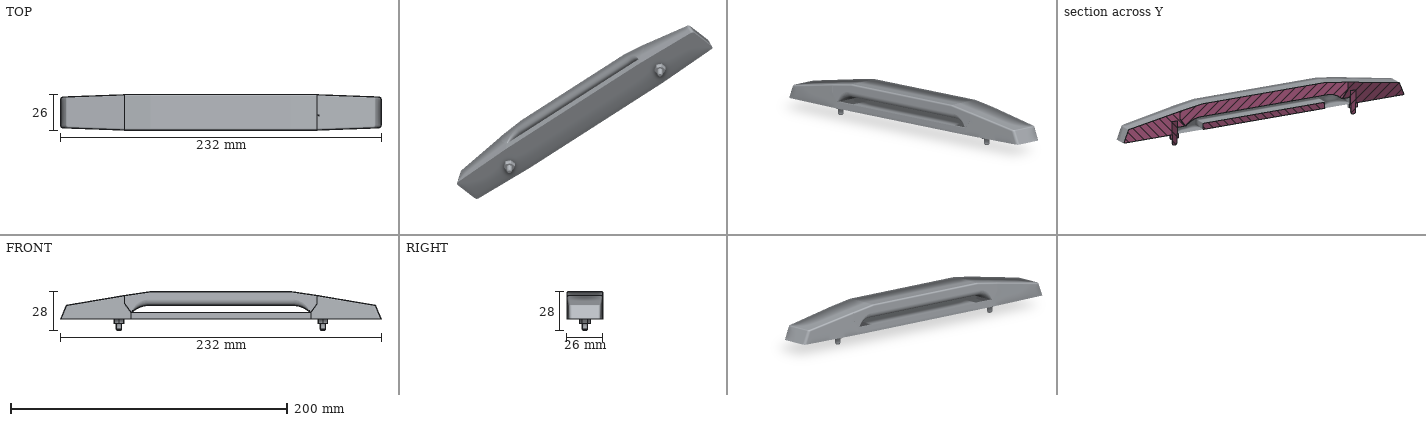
import cadquery as cq
import math

length = 232.0
width = 26.0
height = 20.0

flat_top_half_length = 50.6
grip_slope = math.radians(8.4)
cap_slope = math.radians(9.6)
end_top_x = 111.85
end_width = 22.3
top_fillet = 1.2
end_fillet = 2.0

joint_x = 65.1
joint_top_x = 69.6
joint_bend_z = 11.2
bar_height = 5.0

underside_z = 10.0
underside_radius = 4.0
underside_half_length = 52.2
foot_flat = 0.7
foot_radius = 0.1
blend_sections = 8

pocket_inner_x = 50.4
pocket_outer_x = 71.0
pocket_margin = 2.0
pocket_floor = 0.5

stud_x = 73.75
stud_diameter = 4.0
stud_drop = 8.0
stud_engagement = 10.0
stud_tip_length = 1.0
stud_tip_inset = 0.7
nut_across_flats = 7.0
nut_height = 3.2
nut_chamfer_angle = math.radians(30.0)

joint_top_z = height - (joint_top_x - flat_top_half_length) * math.tan(grip_slope)
half_length = length / 2
half_width = width / 2
sides = (-1, 1)


def place(body, side):
    """Turn a body built at the +X end to the chosen end."""
    return body if side > 0 else body.rotate((0, 0, 0), (0, 0, 1), 180)


def extrude_across(profile):
    """Extrude an XZ profile over the full width, centred on Y = 0."""
    return profile.extrude(half_width, both=True)


def make_stud():
    tip_radius = stud_diameter / 2 - stud_tip_inset
    profile = (
        cq.Workplane("XZ")
        .moveTo(0, stud_engagement)
        .lineTo(stud_diameter / 2, stud_engagement)
        .lineTo(stud_diameter / 2, stud_tip_length - stud_drop)
        .lineTo(tip_radius, -stud_drop)
        .lineTo(0, -stud_drop)
        .close()
    )
    return profile.revolve(360, (0, 0, 0), (0, 1, 0)).translate((stud_x, 0, 0))


def make_nut():
    across_corners = nut_across_flats / math.cos(math.pi / 6)
    hexagon = (
        cq.Workplane("XY")
        .polygon(6, across_corners)
        .circle(stud_diameter / 2)
        .extrude(-nut_height)
        .rotate((0, 0, 0), (0, 0, 1), 90)
    )
    flat_radius = nut_across_flats / 2
    cone_radius = flat_radius + nut_height / math.tan(nut_chamfer_angle)
    cone = cq.Workplane(
        cq.Solid.makeCone(flat_radius, cone_radius, nut_height, pnt=cq.Vector(0, 0, -nut_height))
    )
    return hexagon.intersect(cone).translate((stud_x, 0, 0))


def make_pocket_block(low_z, high_z):
    """Block with the plan of the pocket, which reaches from the base bar into the cap."""
    block_length = pocket_outer_x - pocket_inner_x
    block_width = width - 2 * pocket_margin
    return (
        cq.Workplane("XY")
        .box(block_length, block_width, high_z - low_z, centered=(False, True, False))
        .translate((pocket_inner_x, 0, low_z))
    )


def make_cap():
    end_rise = joint_top_z - (end_top_x - joint_top_x) * math.tan(cap_slope)
    profile = (
        cq.Workplane("XZ")
        .moveTo(joint_x, 0)
        .lineTo(half_length, 0)
        .lineTo(end_top_x, end_rise)
        .lineTo(joint_top_x, joint_top_z)
        .lineTo(joint_top_x, joint_bend_z)
        .lineTo(joint_x, bar_height)
        .close()
    )
    plan = (
        cq.Workplane("XY")
        .moveTo(joint_x, -half_width)
        .lineTo(half_length, -end_width / 2)
        .lineTo(half_length, end_width / 2)
        .lineTo(joint_x, half_width)
        .close()
        .extrude(height)
    )
    body = extrude_across(profile).intersect(plan)

    end_corners = cq.selectors.BoxSelector(
        (end_top_x, -half_width, 0), (half_length, half_width, end_rise)
    )
    body = body.edges(end_corners).edges("not #Z").edges("not |Y").fillet(end_fillet)
    top_middle = ((joint_top_x + end_top_x) / 2, 0, (joint_top_z + end_rise) / 2)
    top_face = body.faces(cq.selectors.NearestToPointSelector(top_middle))
    body = top_face.edges("not <X").fillet(top_fillet)

    stud_hole = (
        cq.Workplane("XY").center(stud_x, 0).circle(stud_diameter / 2).extrude(stud_engagement)
    )
    return body.cut(stud_hole).cut(make_pocket_block(0, bar_height))


def arc_drop(distance, run, drop):
    """Drop at a distance along an arc that starts level and falls by drop over run."""
    radius = (run**2 + drop**2) / (2 * drop)
    return radius - math.sqrt(radius**2 - distance**2)


def opening_section(x, radius_y, low_z, edge_z):
    """Section of the hand opening: level in the middle, rounded up to the sides."""
    flat_half_width = half_width - radius_y
    diagonal = math.sqrt(0.5)
    bend_y = flat_half_width + radius_y * diagonal
    bend_z = edge_z - (edge_z - low_z) * diagonal
    return (
        cq.Workplane("YZ", origin=(x, 0, 0))
        .moveTo(-half_width, 0)
        .lineTo(half_width, 0)
        .lineTo(half_width, edge_z)
        .threePointArc((bend_y, bend_z), (flat_half_width, low_z))
        .lineTo(-flat_half_width, low_z)
        .threePointArc((-bend_y, bend_z), (-half_width, edge_z))
        .close()
        .val()
    )


def make_opening_end():
    """End of the hand opening, where the underside curves down to the foot of the grip."""
    edge_top_z = underside_z + underside_radius
    run = joint_x - foot_flat - underside_half_length
    sections = []
    for i in range(blend_sections + 1):
        distance = run * i / blend_sections
        low_z = underside_z - arc_drop(distance, run, underside_z - bar_height)
        edge_z = edge_top_z - arc_drop(distance, run, edge_top_z - bar_height - foot_radius)
        sections.append(
            opening_section(underside_half_length + distance, edge_z - low_z, low_z, edge_z)
        )
    return cq.Workplane(cq.Solid.makeLoft(sections))


def make_grip():
    profile = (
        cq.Workplane("XZ")
        .moveTo(-joint_x, bar_height)
        .lineTo(joint_x, bar_height)
        .lineTo(joint_top_x, joint_bend_z)
        .lineTo(joint_top_x, joint_top_z)
        .lineTo(flat_top_half_length, height)
        .lineTo(-flat_top_half_length, height)
        .lineTo(-joint_top_x, joint_top_z)
        .lineTo(-joint_top_x, joint_bend_z)
        .close()
    )
    body = extrude_across(profile)
    top_edges = cq.selectors.BoxSelector(
        (-joint_top_x, -width, joint_top_z), (joint_top_x, width, height + 1)
    )
    body = body.edges(top_edges).edges("not |Y").fillet(top_fillet)

    middle_section = opening_section(
        -underside_half_length, underside_radius, underside_z, underside_z + underside_radius
    )
    middle = cq.Workplane(
        cq.Solid.extrudeLinear(middle_section, [], cq.Vector(2 * underside_half_length, 0, 0))
    )
    body = body.cut(middle)
    for side in sides:
        body = body.cut(place(make_opening_end(), side))
    return body


def make_bar():
    body = cq.Workplane("XY").box(2 * joint_x, width, bar_height, centered=(True, True, False))
    for side in sides:
        tongue = make_pocket_block(0, pocket_floor)
        pocket = make_pocket_block(pocket_floor, bar_height)
        body = body.union(place(tongue, side)).cut(place(pocket, side))
    return body


grip = make_grip()
bar = make_bar()
caps = [place(make_cap(), side) for side in sides]
studs = [place(make_stud(), side) for side in sides]
nuts = [place(make_nut(), side) for side in sides]

bodies = [grip, bar] + caps + studs + nuts
result = cq.Compound.makeCompound([body.solids().val() for body in bodies])